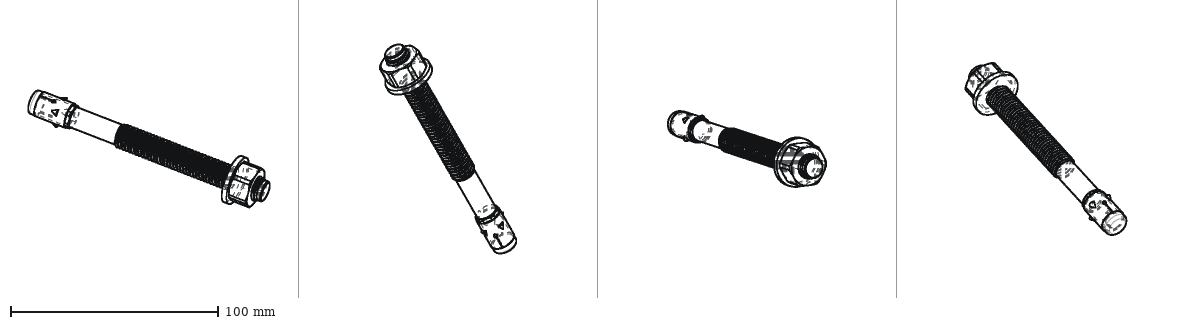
import cadquery as cq
import math

LENGTH = 126.0
SHANK_RADIUS = 5.2
NOSE_RADIUS = 6.0
NOSE_FILLET = 1.5
END_CHAMFER = 0.5
NECK_RADIUS = SHANK_RADIUS

CLIP_START = 3.9
CLIP_END = 20.2
CLIP_RADIUS = 6.3
SLIT_WIDTH = 0.3
SLIT_HOLE_RADIUS = 0.95
SLIT_HOLE_X = 11.6
BUMP_COUNT = 4
BUMP_BASE_X = 15.6
BUMP_LENGTH = 3.7
BUMP_RADIUS = 1.6
BUMP_AXIS_RADIUS = 6.0

COLLAR_END = 22.4
COLLAR_ACROSS_FLATS = 11.3
COLLAR_CHAMFER = 0.6

THREAD_START = 46.7
THREAD_END = 123.9
THREAD_RUN_OUT = 1.5
THREAD_TURNS = 44
THREAD_PHASE = 1.5
THREAD_PITCH = (THREAD_END - THREAD_START) / THREAD_TURNS
THREAD_RADIUS = NOSE_RADIUS
THREAD_ROOT_WIDTH = 1.5
THREAD_CREST_WIDTH = 0.3
THREAD_OVERLAP = 0.1

WASHER_START = 108.2
WASHER_THICKNESS = 2.6
WASHER_RADIUS = 12.0
NUT_HEIGHT = 9.8
NUT_ACROSS_FLATS = 19.0
NUT_CORNER_RADIUS = 10.5
NUT_CHAMFER_ANGLE = 30.0

SIDES = 6


def cylinder(start, end, radius):
    """Round bar along X."""
    return cq.Workplane("YZ").workplane(offset=start).circle(radius).extrude(end - start)


def beveled_cylinder(start, end, radius, bevel_length, bevel_depth):
    """Round bar along X whose radius falls by bevel_depth over the last bevel_length at both ends."""
    bar = cylinder(start, end, radius)
    return bar.faces("<X or >X").edges().chamfer(bevel_length, bevel_depth)


def hexagon_bar(start, end, across_flats):
    """Hexagonal bar along X with flats facing +Z and -Z."""
    across_corners = across_flats / math.cos(math.pi / SIDES)
    return cq.Workplane("YZ").workplane(offset=start).polygon(SIDES, across_corners).extrude(end - start)


def make_core():
    """Stud with a rounded nose, a neck under the clip and a plain shank."""
    nose = cylinder(0, CLIP_START, NOSE_RADIUS).faces("<X").edges().fillet(NOSE_FILLET)
    neck = cylinder(CLIP_START, CLIP_END, NECK_RADIUS)
    shank = cylinder(CLIP_END, LENGTH, SHANK_RADIUS).faces(">X").edges().chamfer(END_CHAMFER)
    return nose.union(neck).union(shank)


def make_collar():
    """Collar with six flats that stops the clip from sliding back."""
    rounded = cylinder(CLIP_END, COLLAR_END, NOSE_RADIUS).faces(">X").edges().chamfer(COLLAR_CHAMFER)
    return rounded.intersect(hexagon_bar(CLIP_END, COLLAR_END, COLLAR_ACROSS_FLATS))


def make_thread():
    """Helical ridge, sunk slightly into the shank so that it joins it, fading out at both ends."""
    foot = SHANK_RADIUS - THREAD_OVERLAP
    helix_start = THREAD_START + THREAD_PHASE - 2 * THREAD_PITCH
    helix_length = THREAD_END - helix_start + THREAD_PITCH
    helix = cq.Wire.makeHelix(THREAD_PITCH, helix_length, foot)
    ridge = (
        cq.Workplane("XZ")
        .polyline([
            (foot, -THREAD_ROOT_WIDTH / 2),
            (THREAD_RADIUS, -THREAD_CREST_WIDTH / 2),
            (THREAD_RADIUS, THREAD_CREST_WIDTH / 2),
            (foot, THREAD_ROOT_WIDTH / 2),
        ])
        .close()
        .sweep(cq.Workplane(obj=helix), isFrenet=True)
        .rotate((0, 0, 0), (0, 1, 0), 90)
        .translate((helix_start, 0, 0))
    )
    envelope_radius = THREAD_RADIUS + THREAD_OVERLAP
    envelope = beveled_cylinder(
        THREAD_START, THREAD_END, envelope_radius, THREAD_RUN_OUT, envelope_radius - SHANK_RADIUS
    )
    return ridge.intersect(envelope, clean=False)


def make_washer():
    """Round disc fused to the nut."""
    return cylinder(WASHER_START, WASHER_START + WASHER_THICKNESS, WASHER_RADIUS)


def make_nut():
    """Hexagon with rounded corners, chamfered at both ends."""
    start = WASHER_START + WASHER_THICKNESS
    end = start + NUT_HEIGHT
    corner_drop = NUT_CORNER_RADIUS - NUT_ACROSS_FLATS / 2
    chamfer_length = corner_drop * math.tan(math.radians(NUT_CHAMFER_ANGLE))
    rounded = beveled_cylinder(start, end, NUT_CORNER_RADIUS, chamfer_length, corner_drop)
    return rounded.intersect(hexagon_bar(start, end, NUT_ACROSS_FLATS))


def make_anchor():
    """Threaded stud with its collar, washer and nut as one solid."""
    threaded_stud = make_core().union(make_thread(), clean=False)
    nut_with_washer = make_washer().union(make_nut())
    return threaded_stud.union(nut_with_washer, clean=False).union(make_collar(), clean=False)


def make_bump(angle):
    """Cone along X, half sunk in the clip wall, with its point toward the nose."""
    cone = cq.Solid.makeCone(
        0, BUMP_RADIUS, BUMP_LENGTH,
        cq.Vector(BUMP_BASE_X - BUMP_LENGTH, 0, BUMP_AXIS_RADIUS), cq.Vector(1, 0, 0),
    )
    return cq.Workplane(obj=cone).rotate((0, 0, 0), (1, 0, 0), angle)


def make_slit():
    """Keyhole slit through the clip's top and bottom walls, open at the nose end."""
    slit_length = SLIT_HOLE_X - CLIP_START
    slot = (
        cq.Workplane("XY")
        .center(CLIP_START + slit_length / 2, 0)
        .rect(slit_length, SLIT_WIDTH)
        .extrude(2 * CLIP_RADIUS, both=True)
    )
    hole = (
        cq.Workplane("XY")
        .center(SLIT_HOLE_X, 0)
        .circle(SLIT_HOLE_RADIUS)
        .extrude(2 * CLIP_RADIUS, both=True)
    )
    return slot.union(hole)


def make_clip():
    """Sleeve around the neck with four bumps and a keyhole slit."""
    clip = cylinder(CLIP_START, CLIP_END, CLIP_RADIUS)
    for index in range(BUMP_COUNT):
        clip = clip.union(make_bump((index + 0.5) * 360 / BUMP_COUNT))
    bore = cylinder(CLIP_START, CLIP_END, NECK_RADIUS)
    return clip.cut(make_slit()).cut(bore)


anchor = make_anchor()
clip = make_clip()
result = cq.Compound.makeCompound([anchor.val(), clip.val()])